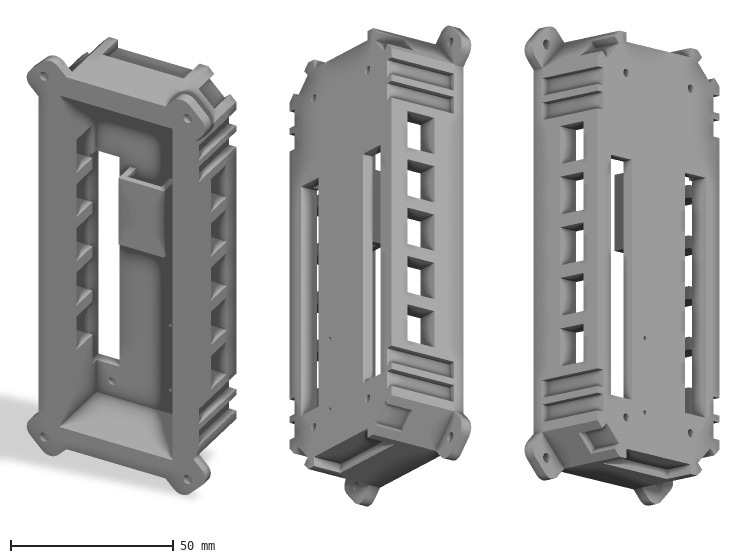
import cadquery as cq
import math


overall_width = 62.9
overall_height = 143.0
depth = 27.0
corner_chamfer = 9.9
cavity_width = 40.0
cavity_height = 120.1
panel_thickness = 3.6

flange_thickness = 3.6
ear_hole_inset = 2.0
ear_hole_diameter = 3.1
ear_corner_radius = 4.0
ear_width = 14.0

ear_overhang = ear_corner_radius + (ear_width / 2 - ear_corner_radius) * math.sin(math.radians(45))
ear_hole_x = overall_width / 2 - ear_overhang
ear_hole_z = overall_height / 2 - ear_overhang
body_width = 2 * (ear_hole_x + ear_hole_inset)
body_height = 2 * (ear_hole_z + ear_hole_inset)

slot_inner_x = 11.9
slot_outer_x = 21.3
slot_bottom_z = -48.5
slot_top_z = 27.5
panel_hole_x = 14.5
panel_hole_z = 54.5
panel_hole_diameter = 2.6
small_hole_x = 6.0
small_hole_heights = (-51.5, -28.0)
small_hole_diameter = 1.5

window_count = 5
window_pitch = 16.0
window_height = 12.0
window_length = 10.0
window_from_back = 6.0

end_pocket_depth = 3.0
side_groove_depth = 2.6
corner_groove_depth = 2.7
side_groove_height = 5.6
side_groove_heights = (43.9, 51.6)
side_groove_length = depth - flange_thickness
rear_recess_length = 10.0
end_pocket_width = 28.7
corner_groove_width = 7.9

sleeve_width = 16.0
sleeve_bottom_z = 1.1
sleeve_height = 24.0
sleeve_from_back = 11.2
sleeve_wall = 2.0


def block(width, length, height, x=0.0, y=0.0, z=0.0):
    """Box centred on x and z, starting at y and running towards +Y."""
    return cq.Workplane("XY").box(width, length, height, centered=(True, False, True)).translate((x, y, z))


def rod(diameter, length, x, y, z):
    """Cylinder along Y, starting at y."""
    return cq.Workplane("XZ").circle(diameter / 2).extrude(-length).translate((x, y, z))


def four_corners(x, z):
    return [(side_x * x, side_z * z) for side_x in (-1, 1) for side_z in (-1, 1)]


def make_ear(hole_x, hole_z):
    """Rounded rectangle laid at 45 degrees, reaching from outside the hole into the frame corner."""
    inner_reach = ear_width / 2
    ear = block(
        ear_corner_radius + inner_reach, flange_thickness, ear_width,
        x=(ear_corner_radius - inner_reach) / 2,
    )
    ear = ear.edges("|Y and >X").fillet(ear_corner_radius)
    outward_angle = math.degrees(math.atan2(math.copysign(1, hole_z), math.copysign(1, hole_x)))
    return ear.rotate((0, 0, 0), (0, 1, 0), -outward_angle).translate((hole_x, 0, hole_z))


def cut_ear_holes(part, corners):
    for x, z in corners:
        part = part.cut(rod(ear_hole_diameter, flange_thickness, x, 0, z))
    return part


def make_frame():
    frame = block(body_width, depth, body_height).edges("|Y").chamfer(corner_chamfer)
    ear_corners = four_corners(ear_hole_x, ear_hole_z)
    for x, z in ear_corners:
        frame = frame.union(make_ear(x, z))
    frame = cut_ear_holes(frame, ear_corners)
    return frame.cut(block(cavity_width, depth - panel_thickness, cavity_height))


def add_sleeve(part):
    """U-shaped sleeve, open at its top and bottom."""
    sleeve_y = depth - sleeve_from_back
    sleeve_length = sleeve_from_back - panel_thickness
    sleeve_z = sleeve_bottom_z + sleeve_height / 2
    outer = block(sleeve_width, sleeve_length, sleeve_height, y=sleeve_y, z=sleeve_z)
    inner = block(
        sleeve_width - 2 * sleeve_wall, sleeve_length - sleeve_wall, sleeve_height,
        y=sleeve_y + sleeve_wall, z=sleeve_z,
    )
    return part.union(outer.cut(inner))


def cut_panel_openings(part):
    """Long slots, which also bite into the side walls as far as the windows, and screw holes."""
    slot_height = slot_top_z - slot_bottom_z
    for side in (-1, 1):
        slot = block(
            slot_outer_x - slot_inner_x, window_from_back, slot_height,
            x=side * (slot_inner_x + slot_outer_x) / 2,
            y=depth - window_from_back,
            z=(slot_top_z + slot_bottom_z) / 2,
        )
        part = part.cut(slot)
    panel_y = depth - panel_thickness
    for x, z in four_corners(panel_hole_x, panel_hole_z):
        part = part.cut(rod(panel_hole_diameter, panel_thickness, x, panel_y, z))
    for z in small_hole_heights:
        part = part.cut(rod(small_hole_diameter, panel_thickness, small_hole_x, panel_y, z))
    return part


def cut_windows(part):
    """Rows of windows through both side walls, leaving the sleeve between them whole."""
    wall = (body_width - cavity_width) / 2
    window_y = depth - window_from_back - window_length
    for index in range(window_count):
        z = (index - (window_count - 1) / 2) * window_pitch
        for side in (-1, 1):
            x = side * (body_width - wall) / 2
            part = part.cut(block(wall, window_length, window_height, x, window_y, z))
    return part


def cut_side_grooves(part):
    for x, z in [p for height in side_groove_heights for p in four_corners(body_width / 2, height)]:
        groove = block(2 * side_groove_depth, side_groove_length, side_groove_height, x, flange_thickness, z)
        part = part.cut(groove)
    return part


def cut_rear_recesses(part):
    """Pockets in the two ends and grooves in the four corner chamfers, open at the back."""
    recess_y = depth - rear_recess_length
    for side in (-1, 1):
        pocket = block(
            end_pocket_width, rear_recess_length, 2 * end_pocket_depth, y=recess_y, z=side * body_height / 2
        )
        part = part.cut(pocket)
    chamfer_middle = corner_chamfer / 2
    for x, z in four_corners(body_width / 2 - chamfer_middle, body_height / 2 - chamfer_middle):
        tilt = math.copysign(45, x * z)
        groove = block(corner_groove_width, rear_recess_length, 2 * corner_groove_depth)
        groove = groove.rotate((0, 0, 0), (0, 1, 0), tilt).translate((x, recess_y, z))
        part = part.cut(groove)
    return part


result = make_frame()
result = add_sleeve(result)
result = cut_panel_openings(result)
result = cut_windows(result)
result = cut_side_grooves(result)
result = cut_rear_recesses(result)